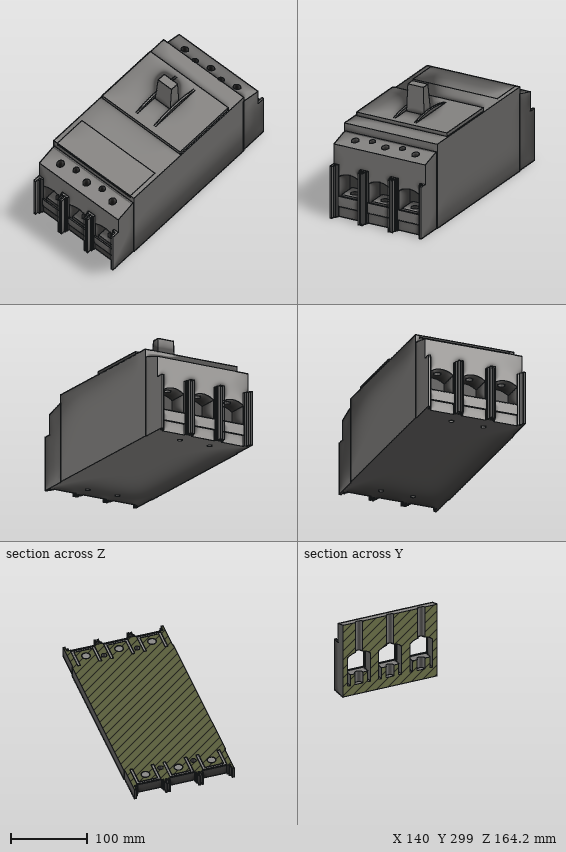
import cadquery as cq

MAIN_WIDTH = 140.0
MAIN_LENGTH = 216.5
MAIN_HEIGHT = 120.2

END_WIDTH = 137.8
END_FACE_Y = 137.8
END_TOP = 109.0
END_SHOULDER = 101.7
END_FLAT_Y = 110.5
POLE_PITCH = 45.5
POLES = (-POLE_PITCH, 0, POLE_PITCH)

CHAMBER_WIDTH = 32.5
CHAMBER_FLOOR = 15.0
CHAMBER_SPRING = 56.0
CHAMBER_CROWN = 62.0
SILL_TOP = 29.5
SILL_DEPTH = 2.0
TERMINAL_WIDTH = 26.0
TERMINAL_TOP = 30.8
TERMINAL_FACE_Y = 135.0
TERMINAL_HOLE = 11.0
TERMINAL_HOLE_Y = 123.5

ACCESS_HOLE = 10.0
ACCESS_HOLE_Y = 122.5
MOUNTING_HOLE = 6.5
MOUNTING_COUNTERBORE = 8.0
MOUNTING_COUNTERBORE_FLOOR = 30.0
MOUNTING_HOLE_Y = 117.2

BARRIER_HEIGHT = 74.0
BARRIER_LENGTH = 149.5
BARRIER_ROOT_DEPTH = 2.7
BARRIER_ROOT_WIDTH = 11.5
BARRIER_LIP_WIDTH = 9.5
BARRIER_FINS_WIDTH = 6.3
BARRIER_SLOT = 1.8
SIDE_BARRIER_LENGTH = 148.5
SIDE_ROOT_WIDTH = 7.5
SIDE_LIP_WIDTH = 5.7
SIDE_FIN_WIDTH = 3.0
LIP_INNER_Y = 141.7
LIP_OUTER_Y = 144.0

COVER_WIDTH = 136.3
COVER_MIN_Y = -15.2
COVER_MAX_Y = 79.8
COVER_TOP = 125.3
GUIDE_INNER_X = 14.5
GUIDE_WIDTH = 3.0
GUIDE_MIN_Y = -6.0
GUIDE_MAX_Y = 71.8
GUIDE_RISE = 5.0

LABEL_WIDTH = 127.5
LABEL_LENGTH = 48.5
LABEL_THICKNESS = 2.7
LABEL_GAP = 1.0

LEVER_TOP = 164.2
LEVER_BASE_BACK_Y = 44.3
LEVER_TIP_BACK_Y = 43.7
LEVER_BASE_WIDTH = 26.3
LEVER_BASE_DEPTH = 16.7
LEVER_TIP_WIDTH = 23.3
LEVER_TIP_DEPTH = 12.0


def block(x_min, x_max, y_min, y_max, z_min, z_max):
    """Axis-aligned block between the given limits."""
    size = (x_max - x_min, y_max - y_min, z_max - z_min)
    return cq.Workplane("XY").box(*size, centered=False).translate((x_min, y_min, z_min))


def centered_block(x, width, y_min, y_max, z_min, z_max):
    """Block of the given width centred on x."""
    return block(x - width / 2, x + width / 2, y_min, y_max, z_min, z_max)


def upright_hole(diameter, x, y, z_min, z_max):
    """Vertical cylinder used to cut a hole."""
    start = cq.Workplane("XY", origin=(x, y, z_min))
    return start.circle(diameter / 2).extrude(z_max - z_min)


def end_body():
    """Terminal end at +Y with its sloping top, starting inside the main block."""
    outline = [
        (0, 0),
        (END_FACE_Y, 0),
        (END_FACE_Y, END_SHOULDER),
        (END_FLAT_Y, END_TOP),
        (0, END_TOP),
    ]
    profile = cq.Workplane("YZ").polyline(outline).close()
    return profile.extrude(END_WIDTH / 2, both=True)


def chamber(x):
    """Arched cavity that opens in the +Y end face."""
    half = CHAMBER_WIDTH / 2
    return (
        cq.Workplane("XZ", origin=(x, END_FACE_Y, 0))
        .moveTo(-half, CHAMBER_FLOOR)
        .lineTo(half, CHAMBER_FLOOR)
        .lineTo(half, CHAMBER_SPRING)
        .threePointArc((0, CHAMBER_CROWN), (-half, CHAMBER_SPRING))
        .close()
        .extrude(END_FACE_Y - MAIN_LENGTH / 2)
    )


def terminal(x):
    """Terminal pad with its screw hole, on the chamber floor."""
    pad = centered_block(x, TERMINAL_WIDTH, MAIN_LENGTH / 2, TERMINAL_FACE_Y, CHAMBER_FLOOR, TERMINAL_TOP)
    return pad.cut(upright_hole(TERMINAL_HOLE, x, TERMINAL_HOLE_Y, CHAMBER_FLOOR, TERMINAL_TOP))


def sill():
    """Strip across the end face that closes the lower part of the chambers."""
    return centered_block(0, END_WIDTH, END_FACE_Y, END_FACE_Y + SILL_DEPTH, CHAMBER_FLOOR, SILL_TOP)


def phase_barrier(x):
    """Barrier between two poles: wide root, thin lip and two fins with a slot between them."""
    root_y = END_FACE_Y + BARRIER_ROOT_DEPTH
    root = centered_block(x, BARRIER_ROOT_WIDTH, END_FACE_Y, root_y, 0, BARRIER_HEIGHT)
    lip = centered_block(x, BARRIER_LIP_WIDTH, LIP_INNER_Y, LIP_OUTER_Y, 0, BARRIER_HEIGHT)
    fins = centered_block(x, BARRIER_FINS_WIDTH, root_y, BARRIER_LENGTH, 0, BARRIER_HEIGHT)
    slot = centered_block(x, BARRIER_SLOT, root_y, BARRIER_LENGTH, 0, BARRIER_HEIGHT)
    return root.union(fins.union(lip).cut(slot))


def side_barrier():
    """Barrier at the +X edge: root, lip and one fin, all flush with the side of the end."""
    outer_x = END_WIDTH / 2
    root_y = END_FACE_Y + BARRIER_ROOT_DEPTH
    root = block(outer_x - SIDE_ROOT_WIDTH, outer_x, END_FACE_Y, root_y, 0, BARRIER_HEIGHT)
    lip = block(outer_x - SIDE_LIP_WIDTH, outer_x, LIP_INNER_Y, LIP_OUTER_Y, 0, BARRIER_HEIGHT)
    fin = block(outer_x - SIDE_FIN_WIDTH, outer_x, root_y, SIDE_BARRIER_LENGTH, 0, BARRIER_HEIGHT)
    return root.union(fin).union(lip)


def terminal_end():
    """Complete terminal end at +Y."""
    end = end_body()
    for x in POLES:
        end = end.cut(chamber(x))
        end = end.union(terminal(x))
        end = end.cut(upright_hole(ACCESS_HOLE, x, ACCESS_HOLE_Y, CHAMBER_SPRING, END_TOP))
    end = end.union(sill())
    for x in (-POLE_PITCH / 2, POLE_PITCH / 2):
        end = end.union(phase_barrier(x))
        end = end.cut(upright_hole(MOUNTING_HOLE, x, MOUNTING_HOLE_Y, 0, END_TOP))
        end = end.cut(
            upright_hole(MOUNTING_COUNTERBORE, x, MOUNTING_HOLE_Y, MOUNTING_COUNTERBORE_FLOOR, END_TOP)
        )
    right_barrier = side_barrier()
    return end.union(right_barrier).union(right_barrier.mirror("YZ"))


def label_block(thickness):
    """Block at the label's place, flush with the top and front of the main block."""
    front_y = -MAIN_LENGTH / 2
    return centered_block(
        0, LABEL_WIDTH, front_y, front_y + LABEL_LENGTH, MAIN_HEIGHT - thickness, MAIN_HEIGHT
    )


def make_housing():
    """Main block with a terminal end on both sides and the recess for the label."""
    main = centered_block(0, MAIN_WIDTH, -MAIN_LENGTH / 2, MAIN_LENGTH / 2, 0, MAIN_HEIGHT)
    back_end = terminal_end()
    housing = main.union(back_end).union(back_end.mirror("XZ"))
    return housing.cut(label_block(LABEL_THICKNESS + LABEL_GAP))


def make_label():
    """Flat label plate."""
    return label_block(LABEL_THICKNESS)


def guide_rib(inner_x):
    """Low rib with an arched top, running along Y on the cover."""
    middle_y = (GUIDE_MIN_Y + GUIDE_MAX_Y) / 2
    return (
        cq.Workplane("YZ", origin=(inner_x, 0, 0))
        .moveTo(GUIDE_MIN_Y, COVER_TOP)
        .threePointArc((middle_y, COVER_TOP + GUIDE_RISE), (GUIDE_MAX_Y, COVER_TOP))
        .close()
        .extrude(GUIDE_WIDTH)
    )


def make_cover():
    """Cover plate with a guide rib on each side of the lever."""
    plate = centered_block(0, COVER_WIDTH, COVER_MIN_Y, COVER_MAX_Y, MAIN_HEIGHT, COVER_TOP)
    right_rib = guide_rib(GUIDE_INNER_X)
    return plate.union(right_rib).union(right_rib.mirror("YZ"))


def make_lever():
    """Lever that tapers towards its tip, standing on the cover."""
    rise = LEVER_TOP - COVER_TOP
    base_y = LEVER_BASE_BACK_Y - LEVER_BASE_DEPTH / 2
    tip_y = LEVER_TIP_BACK_Y - LEVER_TIP_DEPTH / 2
    return (
        cq.Workplane("XY", origin=(0, base_y, COVER_TOP))
        .rect(LEVER_BASE_WIDTH, LEVER_BASE_DEPTH)
        .workplane(offset=rise)
        .center(0, tip_y - base_y)
        .rect(LEVER_TIP_WIDTH, LEVER_TIP_DEPTH)
        .loft(ruled=True)
    )


housing = make_housing()
label = make_label()
cover = make_cover()
lever = make_lever()

result = cq.Compound.makeCompound([housing.val(), label.val(), cover.val(), lever.val()])